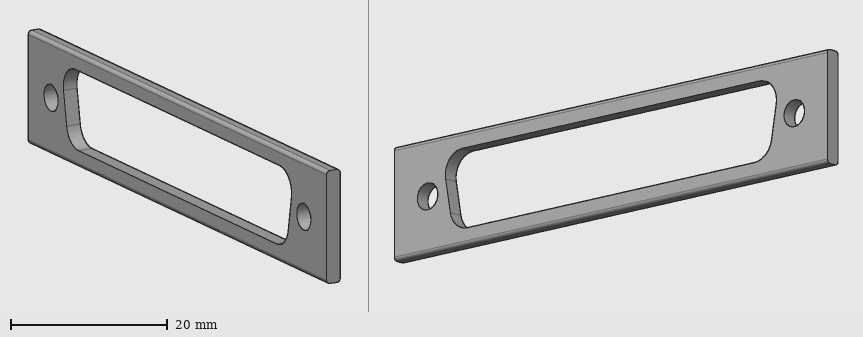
import cadquery as cq
import math

length = 75.0
thickness = 2.0
height = 15.0
long_edge_radius = 0.5

window_height = 10.6
window_mid_width = 56.6
window_side_angle = 10.0
window_corner_radius = 3.0

hole_diameter = 3.5
hole_spacing = 63.5


def make_plate():
    """Flat bar with its four long edges rounded."""
    return cq.Workplane("XY").box(length, thickness, height).edges("|X").fillet(long_edge_radius)


def make_window():
    """Solid that cuts the rounded D-shaped window through the plate."""
    half_height = window_height / 2
    side_lean = half_height * math.tan(math.radians(window_side_angle))
    top_half_width = window_mid_width / 2 + side_lean
    bottom_half_width = window_mid_width / 2 - side_lean
    return (
        cq.Workplane("XZ", origin=(0, thickness / 2, 0))
        .polyline([
            (-top_half_width, half_height),
            (top_half_width, half_height),
            (bottom_half_width, -half_height),
            (-bottom_half_width, -half_height),
        ])
        .close()
        .extrude(thickness)
        .edges("|Y")
        .fillet(window_corner_radius)
    )


def make_screw_holes():
    """Pair of cylinders that cut the screw holes through the plate."""
    return (
        cq.Workplane("XZ", origin=(0, thickness / 2, 0))
        .pushPoints([(-hole_spacing / 2, 0), (hole_spacing / 2, 0)])
        .circle(hole_diameter / 2)
        .extrude(thickness)
    )


result = make_plate().cut(make_window()).cut(make_screw_holes())